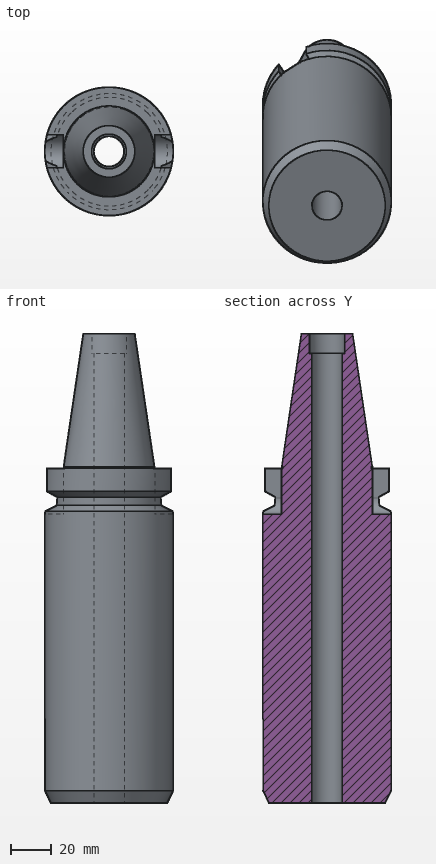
import cadquery as cq

total_length = 230.0
body_radius = 31.5
end_chamfer_height = 6.2
end_chamfer_width = 3.0

taper_length = 65.3
taper_large_radius = 22.3
taper_small_radius = 12.7
neck_length = 0.7
neck_radius = 21.9

flange_rim_height = 11.3
groove_radius = 26.7
groove_side_height = 2.8
groove_floor_height = 4.1

slot_width = 16.0
slot_depth = 22.3
slot_floor_offset = 22.3

bore_radius = 7.4
counterbore_radius = 8.5
counterbore_depth = 9.7

taper_base_z = total_length - taper_length
flange_top_z = taper_base_z - neck_length
rim_bottom_z = flange_top_z - flange_rim_height
groove_top_z = rim_bottom_z - groove_side_height
groove_bottom_z = groove_top_z - groove_floor_height
groove_side_bottom_z = groove_bottom_z - groove_side_height


def make_holder():
    """Revolve the half profile of the body, grooved flange, neck and taper."""
    return (
        cq.Workplane("XZ")
        .polyline([
            (0, 0),
            (body_radius - end_chamfer_width, 0),
            (body_radius, end_chamfer_height),
            (body_radius, groove_side_bottom_z),
            (groove_radius, groove_bottom_z),
            (groove_radius, groove_top_z),
            (body_radius, rim_bottom_z),
            (body_radius, flange_top_z),
            (neck_radius, flange_top_z),
            (neck_radius, taper_base_z),
            (taper_large_radius, taper_base_z),
            (taper_small_radius, total_length),
            (0, total_length),
        ])
        .close()
        .revolve(360, (0, 0), (0, 1))
    )


def make_drive_slot(side):
    """Round-bottomed slot, open at the flange top; side is -1 or +1 along X."""
    half_width = slot_width / 2
    slot_bottom_z = flange_top_z - slot_depth
    arc_center_z = slot_bottom_z + half_width
    return (
        cq.Workplane("YZ", origin=(side * slot_floor_offset, 0, 0))
        .moveTo(-half_width, flange_top_z)
        .lineTo(-half_width, arc_center_z)
        .threePointArc((0, slot_bottom_z), (half_width, arc_center_z))
        .lineTo(half_width, flange_top_z)
        .close()
        .extrude(side * body_radius)
    )


def make_bore():
    """Through bore with a counterbore at the small end of the taper."""
    through = cq.Workplane("XY").circle(bore_radius).extrude(total_length)
    counterbore = (
        cq.Workplane("XY", origin=(0, 0, total_length - counterbore_depth))
        .circle(counterbore_radius)
        .extrude(counterbore_depth)
    )
    return through.union(counterbore)


result = make_holder().cut(make_bore())
for side in (-1, 1):
    result = result.cut(make_drive_slot(side))